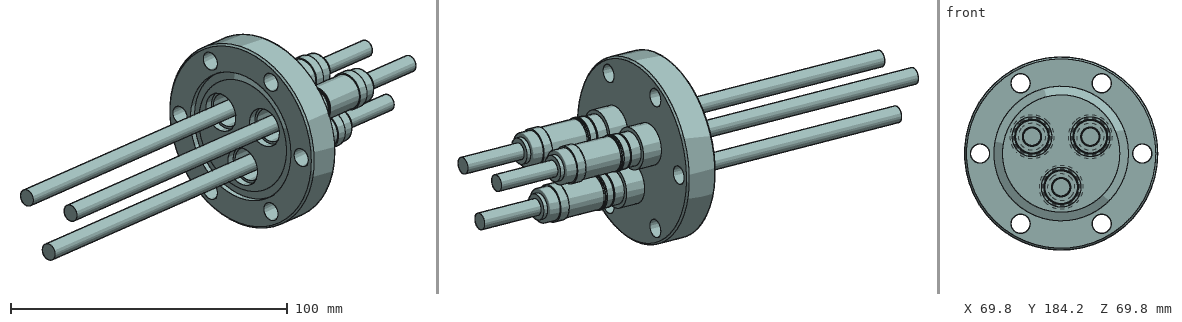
import cadquery as cq
import math


flange_diameter = 69.8
flange_thickness = 12.7
flange_edge_chamfer = 0.7
bolt_circle_diameter = 58.5
bolt_hole_diameter = 6.8
bolt_count = 6

recess_diameter = 48.6
knife_diameter = 42.4
knife_tip_depth = 1.1
cone_height = 1.1

feedthrough_count = 3
feedthrough_circle_radius = 12.2
first_feedthrough_angle = 30
rod_diameter = 6.3
rod_length = 184.2
rod_end_y = 80.0

base_diameter = 15.8
base_end_y = 20.6
neck_diameter = 12.9
neck_end_y = 24.9
shoulder_diameter = 13.0
shoulder_end_y = 25.5
band_diameter = 13.3
lip_diameter = 13.8
lip_start_y = 28.4
lip_end_y = 29.1
band_end_y = 29.6
tube_diameter = 13.0
tube_end_y = 45.3
collar_diameter = 14.0
collar_end_y = 49.0
cap_diameter = 12.9
cap_end_y = 53.4
cap_edge_fillet = 0.4
nose_diameter = 9.8
nose_end_y = 55.0

entry_bore_diameter = 14.4
entry_bore_end_y = 4.0
neck_bore_diameter = 12.5
neck_bore_end_y = 19.2
tube_bore_diameter = 11.8
tube_bore_end_y = 50.6
rod_clearance_diameter = 7.0
rod_clearance_end_y = cap_end_y


def cylinder(diameter, start_y, end_y):
    """Solid cylinder about the Y axis between two Y positions."""
    plane = cq.Workplane("XZ", origin=(0, start_y, 0))
    return plane.circle(diameter / 2).extrude(start_y - end_y)


def polar_points(radius, count, first_angle):
    """Evenly spaced (x, z) points on a circle."""
    angles = [math.radians(first_angle + i * 360 / count) for i in range(count)]
    return [(radius * math.cos(a), radius * math.sin(a)) for a in angles]


def make_flange():
    flange = cylinder(flange_diameter, 0, flange_thickness)
    flange = flange.edges("%CIRCLE").chamfer(flange_edge_chamfer)
    recess = (
        cq.Workplane("XY")
        .moveTo(0, 0)
        .lineTo(recess_diameter / 2, 0)
        .lineTo(recess_diameter / 2, knife_tip_depth + cone_height)
        .lineTo(knife_diameter / 2, knife_tip_depth)
        .lineTo(0, knife_tip_depth)
        .close()
        .revolve(360, (0, 0, 0), (0, 1, 0))
    )
    flange = flange.cut(recess)
    for x, z in polar_points(bolt_circle_diameter / 2, bolt_count, 0):
        bolt_hole = cylinder(bolt_hole_diameter, 0, flange_thickness)
        flange = flange.cut(bolt_hole.translate((x, 0, z)))
    return flange


def stepped_cylinder(start_y, steps):
    """Cylinders stacked along Y, each step given as (diameter, end_y)."""
    diameter, end_y = steps[0]
    body = cylinder(diameter, start_y, end_y)
    for diameter, next_end_y in steps[1:]:
        body = body.union(cylinder(diameter, end_y, next_end_y))
        end_y = next_end_y
    return body


def make_sleeve():
    body = stepped_cylinder(
        flange_thickness,
        [
            (base_diameter, base_end_y),
            (neck_diameter, neck_end_y),
            (shoulder_diameter, shoulder_end_y),
            (band_diameter, lip_start_y),
            (lip_diameter, lip_end_y),
            (band_diameter, band_end_y),
            (tube_diameter, tube_end_y),
            (collar_diameter, collar_end_y),
        ],
    )
    cap = cylinder(cap_diameter, collar_end_y, cap_end_y)
    cap = cap.faces(">Y").edges().fillet(cap_edge_fillet)
    nose = cylinder(nose_diameter, cap_end_y, nose_end_y)
    return body.union(cap).union(nose)


def make_bore():
    return stepped_cylinder(
        0,
        [
            (entry_bore_diameter, entry_bore_end_y),
            (neck_bore_diameter, neck_bore_end_y),
            (tube_bore_diameter, tube_bore_end_y),
            (rod_clearance_diameter, rod_clearance_end_y),
        ],
    )


sleeve = make_sleeve()
bore = make_bore()
rod = cylinder(rod_diameter, rod_end_y - rod_length, rod_end_y)

result = make_flange()
for x, z in polar_points(feedthrough_circle_radius, feedthrough_count, first_feedthrough_angle):
    position = (x, 0, z)
    result = result.union(sleeve.translate(position))
    result = result.cut(bore.translate(position))
    result = result.union(rod.translate(position))